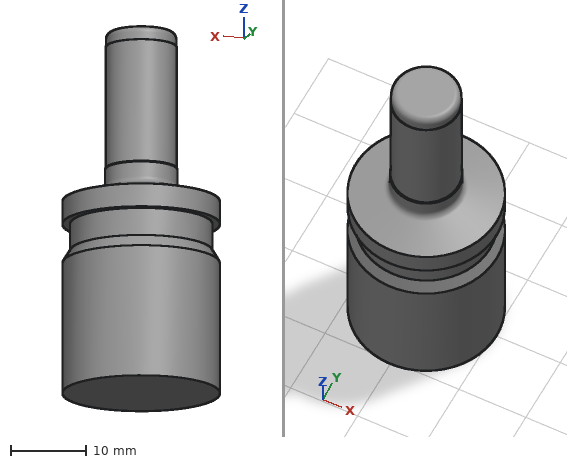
import cadquery as cq
import math

total_height = 49.2
body_radius = 20.95 / 2
groove_radius = 19.0 / 2
body_top = 17.75
groove_bottom = 19.4
collar_bottom = 23.07
collar_top = 26.15
shoulder_angle = math.radians(15)

neck_radius = 9.7 / 2
shank_radius = 9.5 / 2
tip_radius = 9.4 / 2
neck_top = 30.5
shank_bottom = 30.65
shank_top = 47.25
tip_rounding = 0.95

root_fillet = 1.0
fillet_sweep = math.pi / 2 - shoulder_angle
fillet_foot_radius = neck_radius + root_fillet * (1 - math.cos(fillet_sweep))
fillet_foot_height = collar_top + (body_radius - fillet_foot_radius) * math.tan(shoulder_angle)
fillet_top = fillet_foot_height + root_fillet * math.sin(fillet_sweep)


def point_on_arc(center_radius, center_height, arc_radius, angle):
    """Radius and height of the arc point at an angle from the outward direction."""
    return (
        center_radius + arc_radius * math.cos(angle),
        center_height + arc_radius * math.sin(angle),
    )


fillet_middle = point_on_arc(
    neck_radius + root_fillet, fillet_top, root_fillet, math.pi + fillet_sweep / 2
)
tip_middle = point_on_arc(
    tip_radius - tip_rounding, total_height - tip_rounding, tip_rounding, math.pi / 4
)

half_section = (
    cq.Workplane("XZ")
    .lineTo(body_radius, 0)
    .lineTo(body_radius, body_top)
    .lineTo(groove_radius, groove_bottom)
    .lineTo(groove_radius, collar_bottom)
    .lineTo(body_radius, collar_bottom)
    .lineTo(body_radius, collar_top)
    .lineTo(fillet_foot_radius, fillet_foot_height)
    .threePointArc(fillet_middle, (neck_radius, fillet_top))
    .lineTo(neck_radius, neck_top)
    .lineTo(shank_radius, shank_bottom)
    .lineTo(shank_radius, shank_top)
    .lineTo(tip_radius, shank_top)
    .lineTo(tip_radius, total_height - tip_rounding)
    .threePointArc(tip_middle, (tip_radius - tip_rounding, total_height))
    .lineTo(0, total_height)
    .close()
)

result = half_section.revolve(360, (0, 0, 0), (0, 1, 0))